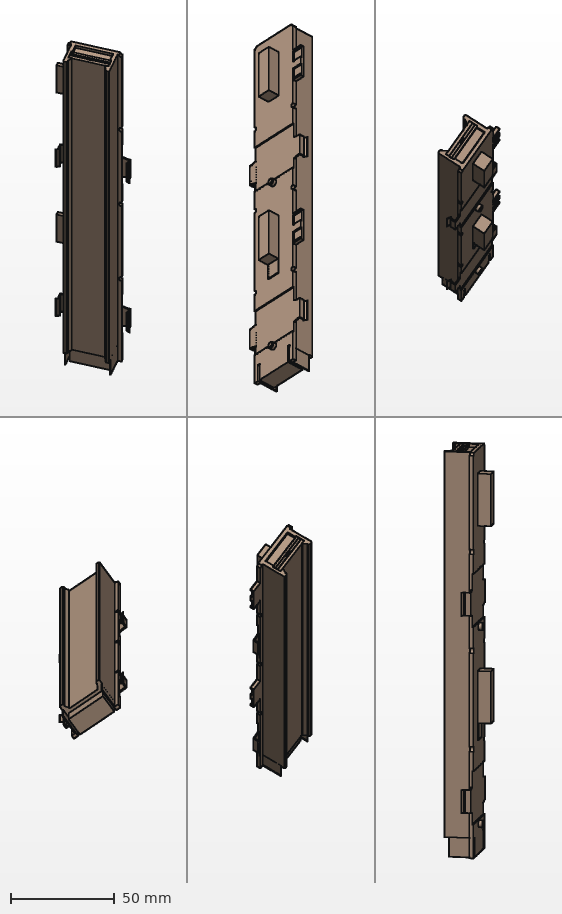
import cadquery as cq

LENGTH = 199.0
EPS = 0.2

BODY_HALF = 11.7
FLANGE_HALF = 13.7
FLANGE_THICK = 2.0
FRONT_Y = -15.0
FOOT_CHAMFER = 0.4
FOOT_INNER_HALF = 10.1
PANEL_FRONT_Y = -11.3
LIP_HALF = 8.4
LIP_THICK = 0.4
LEG_INNER_HALF = 9.5
LEG_INNER_TOP_Y = -13.5
LEG_INNER_END_Y = -14.3

END_HEIGHT = 9.5
SKIN_THICK = 0.5
SKIN_INNER_HALF = BODY_HALF - SKIN_THICK
SKIN_FRONT_Y = -12.5
BLOCK_HALF = 10.1
BLOCK_FRONT_Y = -9.5

POCKET_HALF = 9.5
POCKET_BACK_Y = -2.2
POCKET_FRONT_Y = -6.8
POCKET_DEPTH = 1.5
SLOT_HALF = BLOCK_HALF
LAYER_Y = -8.2
BACK_LAYER_DROP = 0.4
FRONT_LAYER_DROP = 0.8
PANEL_DROP = 0.2
KEY_WIDTH = 2.8
KEY_THICK = 0.5

UNIT_PITCH = 97.0
UPPER_BOX_Z = 174.3
UNIT_SHIFTS = (0, -UNIT_PITCH)

BOX_WIDTH = 7.4
BOX_DEPTH = 6.5
BOX_HEIGHT = 25.7

TAB_END_X = -19.3
TAB_HEIGHT = 17.7
TAB_RIM = 1.0
TAB_RIB = 4.2
TAB_RECESS = 0.8

RELIEF_TOP_Z = 139.7
RELIEF_BOTTOM_Z = 113.6
RELIEF_DEPTH = 0.5

CLIP_Z = 125.5
CLIP_THICK = 0.5
CLIP_BACK_Y = -RELIEF_DEPTH
CLIP_BASE_HEIGHT = 13.0
CLIP_TIP_HEIGHT = 11.3
CLIP_TAPER_END = 16.3
CLIP_ARM_X = 18.0
CLIP_KINK_X = 17.3
CLIP_TIP_X = 19.0
CLIP_BEND_Y = -3.2
CLIP_KINK_Y = -4.0
CLIP_TIP_Y = -5.0

STUD_DIAMETER = 3.5
STUD_LENGTH = 2.4
STUD_CHAMFER = 0.5
STUD_Z = 111.5

PAD_TOP_Z = 64.9
PAD_HEIGHT = 8.5
PAD_THICK = 0.5

NOTCH_RADIUS = 1.2
NOTCH_PITCH = UNIT_PITCH / 2
NOTCH_COUNT = 4


def block(x0, x1, y0, y1, z0, z1):
    """Box between two opposite corners."""
    return cq.Workplane("XY").box(x1 - x0, y1 - y0, z1 - z0, centered=False).translate((x0, y0, z0))


def wide_block(half, y0, y1, z0, z1):
    """Box centred on the rail's middle plane."""
    return block(-half, half, y0, y1, z0, z1)


def make_rail():
    """Flanged channel whose two legs stand in front of the flat panel."""
    right_half = [
        (FLANGE_HALF, 0),
        (FLANGE_HALF, -FLANGE_THICK),
        (BODY_HALF, -FLANGE_THICK),
        (BODY_HALF, FRONT_Y + FOOT_CHAMFER),
        (BODY_HALF - FOOT_CHAMFER, FRONT_Y),
        (FOOT_INNER_HALF, FRONT_Y),
        (LEG_INNER_HALF, LEG_INNER_END_Y),
        (LEG_INNER_HALF, LEG_INNER_TOP_Y),
        (LIP_HALF, PANEL_FRONT_Y - LIP_THICK),
        (LIP_HALF, PANEL_FRONT_Y),
    ]
    left_half = [(-x, y) for x, y in reversed(right_half)]
    return cq.Workplane("XY").polyline(right_half + left_half).close().extrude(LENGTH)


def lower_end_cut():
    """Clears the legs and panel below the end step, leaving the core block and the side skins."""
    cut = wide_block(BODY_HALF + EPS, FRONT_Y - EPS, SKIN_FRONT_Y, -EPS, END_HEIGHT)
    cut = cut.union(wide_block(SKIN_INNER_HALF, FRONT_Y, BLOCK_FRONT_Y, -EPS, END_HEIGHT))
    gap = SKIN_INNER_HALF - BLOCK_HALF
    for x in (-SKIN_INNER_HALF, BLOCK_HALF):
        cut = cut.union(block(x, x + gap, FRONT_Y, EPS, -EPS, END_HEIGHT))
    return cut


def upper_end_cut():
    """Recesses the pocket and the ends of the panel layers."""
    above = LENGTH + EPS
    cut = wide_block(POCKET_HALF, POCKET_FRONT_Y, POCKET_BACK_Y, LENGTH - POCKET_DEPTH, above)
    cut = cut.union(wide_block(SLOT_HALF, LAYER_Y, POCKET_FRONT_Y, LENGTH - BACK_LAYER_DROP, above))
    cut = cut.union(wide_block(SLOT_HALF, BLOCK_FRONT_Y, LAYER_Y, LENGTH - FRONT_LAYER_DROP, above))
    cut = cut.union(wide_block(SLOT_HALF, PANEL_FRONT_Y, BLOCK_FRONT_Y, LENGTH - PANEL_DROP, above))
    return cut


def make_key():
    """Small key between the panel layers at the upper end."""
    middle_y = (LAYER_Y + BLOCK_FRONT_Y) / 2
    return wide_block(
        KEY_WIDTH / 2, middle_y - KEY_THICK / 2, middle_y + KEY_THICK / 2,
        LENGTH - FRONT_LAYER_DROP - EPS, LENGTH,
    )


def make_notches():
    """Round notches in both flange edges, the first on the upper corners."""
    points = [
        (side * FLANGE_HALF, LENGTH - i * NOTCH_PITCH)
        for side in (-1, 1)
        for i in range(NOTCH_COUNT)
    ]
    return cq.Workplane("XZ").pushPoints(points).circle(NOTCH_RADIUS).extrude(FLANGE_THICK)


def make_box():
    """Connector box on the back of the rail."""
    z0 = UPPER_BOX_Z - BOX_HEIGHT / 2
    return wide_block(BOX_WIDTH / 2, -EPS, BOX_DEPTH, z0, z0 + BOX_HEIGHT)


def make_tab():
    """Side tab with two shallow back recesses divided by a rib."""
    z0 = UPPER_BOX_Z - TAB_HEIGHT / 2
    tab = block(TAB_END_X, -FLANGE_HALF + EPS, -FLANGE_THICK, 0, z0, z0 + TAB_HEIGHT)
    recess_height = (TAB_HEIGHT - TAB_RIB) / 2 - TAB_RIM
    for recess_z in (z0 + TAB_RIM, UPPER_BOX_Z + TAB_RIB / 2):
        tab = tab.cut(
            block(TAB_END_X, -FLANGE_HALF, -TAB_RECESS, 0, recess_z, recess_z + recess_height)
        )
    return tab


def make_clip():
    """Right-hand sheet-metal spring clip with a tapered root and a kinked, flared end."""
    strip = [
        (FLANGE_HALF - EPS, CLIP_BACK_Y),
        (CLIP_ARM_X, CLIP_BACK_Y),
        (CLIP_ARM_X, CLIP_BEND_Y),
        (CLIP_KINK_X, CLIP_KINK_Y),
        (CLIP_TIP_X, CLIP_TIP_Y),
        (CLIP_TIP_X - CLIP_THICK, CLIP_TIP_Y),
        (CLIP_KINK_X - CLIP_THICK, CLIP_KINK_Y),
        (CLIP_ARM_X - CLIP_THICK, CLIP_BEND_Y),
        (CLIP_ARM_X - CLIP_THICK, CLIP_BACK_Y - CLIP_THICK),
        (FLANGE_HALF - EPS, CLIP_BACK_Y - CLIP_THICK),
    ]
    clip = cq.Workplane("XY").polyline(strip).close().extrude(CLIP_BASE_HEIGHT)
    clip = clip.translate((0, 0, CLIP_Z - CLIP_BASE_HEIGHT / 2))
    base, tip = CLIP_BASE_HEIGHT / 2, CLIP_TIP_HEIGHT / 2
    upper_edge = [(FLANGE_HALF - EPS, base), (CLIP_TAPER_END, tip), (CLIP_TIP_X, tip)]
    lower_edge = [(x, -z) for x, z in reversed(upper_edge)]
    outline = cq.Workplane("XZ").polyline(upper_edge + lower_edge).close().extrude(-CLIP_TIP_Y)
    return clip.intersect(outline.translate((0, 0, CLIP_Z)))


def make_relief():
    """Shallow step across the back of the rail behind the clips."""
    return wide_block(FLANGE_HALF + EPS, -RELIEF_DEPTH, EPS, RELIEF_BOTTOM_Z, RELIEF_TOP_Z)


def make_stud():
    """Round stud on the back, just below the clips."""
    stud = cq.Workplane("XZ").circle(STUD_DIAMETER / 2).extrude(-STUD_LENGTH - RELIEF_DEPTH)
    stud = stud.faces(">Y").chamfer(STUD_CHAMFER)
    return stud.translate((0, -RELIEF_DEPTH, STUD_Z))


def make_pad():
    """Thin pad under the lower connector box."""
    return wide_block(BOX_WIDTH / 2, -EPS, PAD_THICK, PAD_TOP_Z - PAD_HEIGHT, PAD_TOP_Z)


rail = make_rail().cut(lower_end_cut()).cut(upper_end_cut()).union(make_key()).cut(make_notches())

for shift in UNIT_SHIFTS:
    rail = rail.cut(make_relief().translate((0, 0, shift)))
    right_clip = make_clip()
    for fitting in (make_box(), make_tab(), right_clip, right_clip.mirror("YZ"), make_stud()):
        rail = rail.union(fitting.translate((0, 0, shift)))

result = rail.union(make_pad())